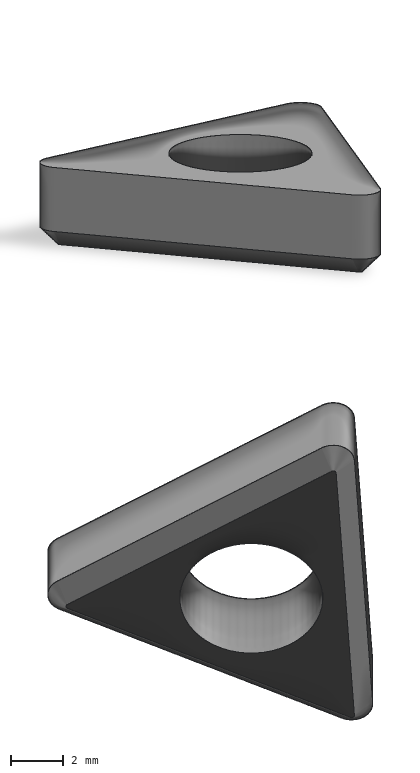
import cadquery as cq
import math

overall_width = 13.55
thickness = 3.2
corner_radius = 0.8
bevel = 0.69
hole_diameter = 5.4

arc_centre_spacing = overall_width - 2 * corner_radius
inscribed_radius = arc_centre_spacing / (2 * math.sqrt(3)) + corner_radius
sharp_corner_radius = 2 * inscribed_radius
corner_angles = [math.radians(angle) for angle in (90, 210, 330)]
sharp_corners = [
    (sharp_corner_radius * math.cos(angle), sharp_corner_radius * math.sin(angle))
    for angle in corner_angles
]

plate = cq.Workplane("XY").polyline(sharp_corners).close().extrude(thickness)
plate = plate.edges("|Z").fillet(corner_radius)

plate = plate.faces("<Z").edges().chamfer(bevel)

hole = cq.Workplane("XY").circle(hole_diameter / 2).extrude(thickness)
result = plate.cut(hole)